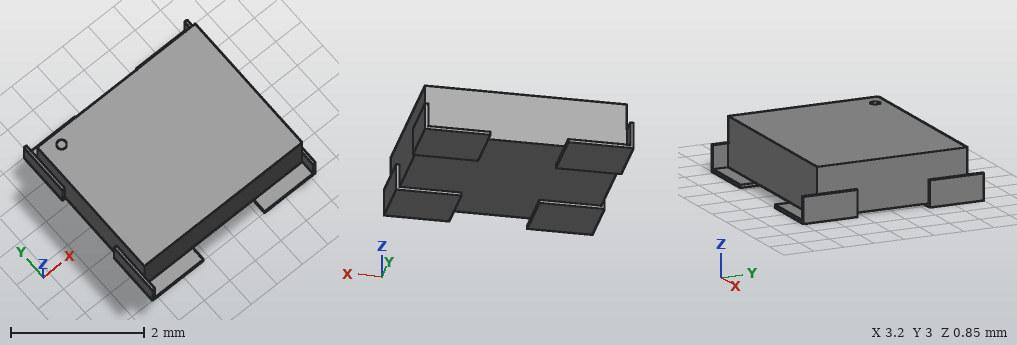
import cadquery as cq

LENGTH = 3.2
WIDTH = 3.0
HEIGHT = 0.85

SHEET = 0.05
FOOT_LENGTH = 1.0
TERMINAL_WIDTH = 0.9
TERMINAL_HEIGHT = 0.425

HOUSING_LENGTH = LENGTH - 2 * SHEET
HOUSING_WIDTH = 2.5
HOUSING_HEIGHT = HEIGHT - SHEET

MARKER_DIAMETER = 0.155
MARKER_DEPTH = 0.015
MARKER_INSET_X = 0.31
MARKER_INSET_Y = 0.2


def make_marker():
    """Thin disc near the -X, +Y corner of the housing top."""
    center_x = -HOUSING_LENGTH / 2 + MARKER_INSET_X
    center_y = HOUSING_WIDTH / 2 - MARKER_INSET_Y
    return (
        cq.Workplane("XY", origin=(center_x, center_y, HEIGHT - MARKER_DEPTH))
        .circle(MARKER_DIAMETER / 2)
        .extrude(MARKER_DEPTH)
    )


def make_housing(marker):
    """Rectangular block with a recess that matches the marker."""
    block = (
        cq.Workplane("XY", origin=(0, 0, SHEET))
        .rect(HOUSING_LENGTH, HOUSING_WIDTH)
        .extrude(HOUSING_HEIGHT)
    )
    return block.cut(marker)


def make_terminal(side_x, side_y):
    """Foot under the housing and upright wall beside it, at one corner."""
    outer_x = side_x * LENGTH / 2
    wall_inner_x = side_x * (LENGTH / 2 - SHEET)
    foot_end_x = side_x * (LENGTH / 2 - FOOT_LENGTH)
    center_y = side_y * (WIDTH - TERMINAL_WIDTH) / 2
    profile = [
        (outer_x, 0),
        (outer_x, TERMINAL_HEIGHT),
        (wall_inner_x, TERMINAL_HEIGHT),
        (wall_inner_x, SHEET),
        (foot_end_x, SHEET),
        (foot_end_x, 0),
    ]
    return (
        cq.Workplane("XZ", origin=(0, center_y, 0))
        .polyline(profile)
        .close()
        .extrude(TERMINAL_WIDTH / 2, both=True)
    )


marker = make_marker()
housing = make_housing(marker)
terminals = [make_terminal(side_x, side_y) for side_x in (-1, 1) for side_y in (-1, 1)]

result = cq.Compound.makeCompound(
    [housing.val(), marker.val(), *[terminal.val() for terminal in terminals]]
)